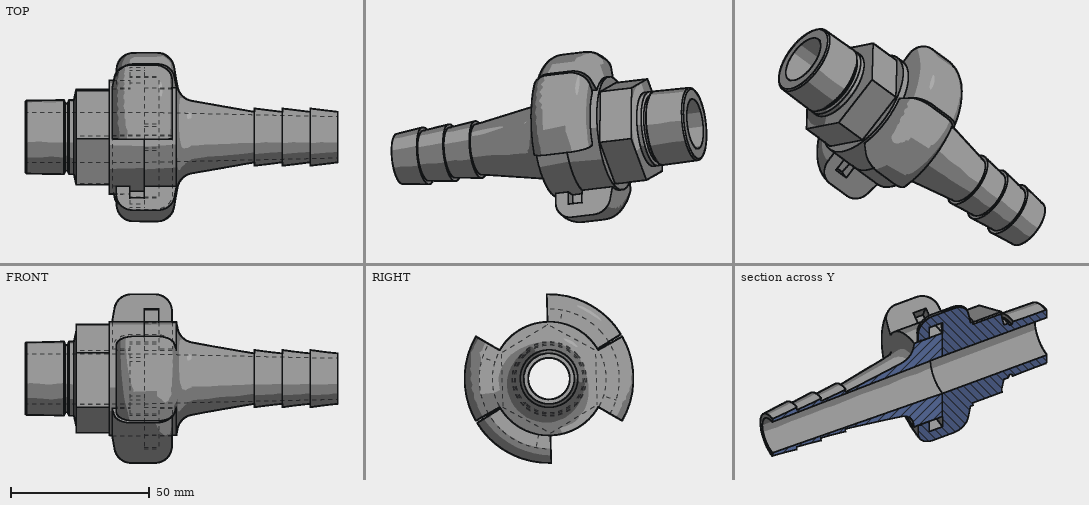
import cadquery as cq
import math


overall_length = 113.0
thread_end = -43.0
hose_end = thread_end + overall_length
thread_bore_radius = 9.0
hose_bore_radius = 7.5

flange_radius = 20.6
flange_rim_length = 11.6
threaded_flange_length = 12.7
claw_radius = 30.5
claw_span = 60.0
claw_hook_reach = 10.1
claw_edge_fillet = 6.2
claw_root_depth = 1.1
back_taper = math.radians(10.0)
mating_angle = 61.6
claw_gap_angle = mating_angle - claw_span

lug_width = 5.2
lug_radius = 25.3
lug_overlap_angle = 5.0
open_slot_angle = 12.4
lug_span = claw_gap_angle + claw_span - open_slot_angle

thread_tip_radius = 12.7
thread_start_radius = 13.2
thread_radius = 13.5
thread_chamfer_length = 0.6
thread_length = 14.0
undercut_radius = 12.2
undercut_side_length = 0.6
undercut_floor_length = 0.8
collar_end = 17.6

hex_start = 18.4
hex_across_flats = 34.0

shoulder_fillet = 6.2
shoulder_radius = 18.2
barb_count = 3
barb_length = 10.1
barb_crest_radius = 10.4
barb_root_radius = 9.2


def revolve_profile(profile, angle=360.0):
    """Turn a closed profile of the XY plane about the X axis, from +Y toward +Z."""
    return profile.close().revolve(angle, (0, 0, 0), (1, 0, 0))


def make_claw():
    """One hooked claw centred on +Y, rooted at +X and hooking over toward -X."""
    back_top = flange_rim_length - (claw_radius - flange_radius) * math.tan(back_taper)
    root_radius = flange_radius - claw_root_depth
    profile = cq.Workplane("XY").polyline([
        (0, root_radius),
        (flange_rim_length, root_radius),
        (flange_rim_length, flange_radius),
        (back_top, claw_radius),
        (-claw_hook_reach, claw_radius),
        (-claw_hook_reach, flange_radius),
        (-lug_width, flange_radius),
        (-lug_width, lug_radius),
        (0, lug_radius),
    ])
    claw = revolve_profile(profile, claw_span)
    outer_rims = [
        edge for edge in claw.edges("%CIRCLE").vals()
        if math.isclose(edge.radius(), claw_radius, rel_tol=1e-6)
    ]
    claw = claw.newObject(outer_rims).fillet(claw_edge_fillet)
    return claw.rotate((0, 0, 0), (1, 0, 0), -claw_span / 2)


def make_lug():
    """The curved lug that runs from a claw into the next claw's slot."""
    root_radius = flange_radius - claw_root_depth
    profile = cq.Workplane("XY").polyline([
        (0, root_radius),
        (lug_width, root_radius),
        (lug_width, lug_radius),
        (0, lug_radius),
    ])
    lug = revolve_profile(profile, lug_span + lug_overlap_angle)
    return lug.rotate((0, 0, 0), (1, 0, 0), claw_span / 2 - lug_overlap_angle)


def add_claws(half):
    """Add two opposite claws with their lugs to a half whose flange is at +X."""
    claw = make_claw().union(make_lug())
    for turn in (0, 180):
        half = half.union(claw.rotate((0, 0, 0), (1, 0, 0), turn), clean=False)
    return half


def make_hose_half():
    """Flange, filleted shoulder, tapered neck and barbed hose tail."""
    shoulder_x = flange_rim_length + (flange_radius - shoulder_radius) * math.tan(back_taper)
    centre_x = shoulder_x + shoulder_fillet * math.cos(back_taper)
    centre_r = shoulder_radius + shoulder_fillet * math.sin(back_taper)
    half_chord = shoulder_fillet * math.sqrt(0.5)
    neck_x = centre_x - shoulder_fillet * math.sin(back_taper)
    neck_radius = centre_r - shoulder_fillet * math.cos(back_taper)

    profile = (
        cq.Workplane("XY")
        .moveTo(0, thread_bore_radius)
        .lineTo(0, flange_radius)
        .lineTo(flange_rim_length, flange_radius)
        .lineTo(shoulder_x, shoulder_radius)
        .threePointArc((centre_x - half_chord, centre_r - half_chord), (neck_x, neck_radius))
    )
    first_barb_x = hose_end - barb_count * barb_length
    profile = profile.lineTo(first_barb_x, barb_root_radius)
    for i in range(barb_count):
        barb_x = first_barb_x + i * barb_length
        profile = profile.lineTo(barb_x, barb_crest_radius)
        profile = profile.lineTo(barb_x + barb_length, barb_root_radius)
    profile = profile.lineTo(hose_end, hose_bore_radius)
    return add_claws(revolve_profile(profile))


def make_threaded_half():
    """Flange, hexagon, collar, undercut and tapered male thread."""
    thread_finish = thread_end + thread_length
    floor_start = thread_finish + undercut_side_length
    floor_end = floor_start + undercut_floor_length
    hex_x = thread_end + hex_start
    spigot = revolve_profile(cq.Workplane("XY").polyline([
        (thread_end, 0),
        (thread_end, thread_tip_radius),
        (thread_end + thread_chamfer_length, thread_start_radius),
        (thread_finish, thread_radius),
        (floor_start, undercut_radius),
        (floor_end, undercut_radius),
        (floor_end + undercut_side_length, thread_radius),
        (thread_end + collar_end, thread_radius),
        (hex_x, hex_across_flats / 2),
        (hex_x, 0),
    ]))
    hexagon = (
        cq.Workplane("YZ", origin=(hex_x, 0, 0))
        .polygon(6, hex_across_flats, circumscribed=True)
        .extrude(-threaded_flange_length - hex_x)
        .rotate((0, 0, 0), (1, 0, 0), mating_angle)
    )
    flange = cq.Workplane("YZ").circle(flange_radius).extrude(-threaded_flange_length)
    bore = cq.Workplane("YZ").circle(thread_bore_radius).extrude(thread_end)

    turned_flange = flange.rotate((0, 0, 0), (0, 0, 1), 180)
    clawed_flange = (
        add_claws(turned_flange)
        .rotate((0, 0, 0), (0, 0, 1), 180)
        .rotate((0, 0, 0), (1, 0, 0), mating_angle)
    )
    return clawed_flange.union(hexagon).union(spigot).cut(bore)


hose_half = make_hose_half()
threaded_half = make_threaded_half()

result = cq.Compound.makeCompound([hose_half.val(), threaded_half.val()])